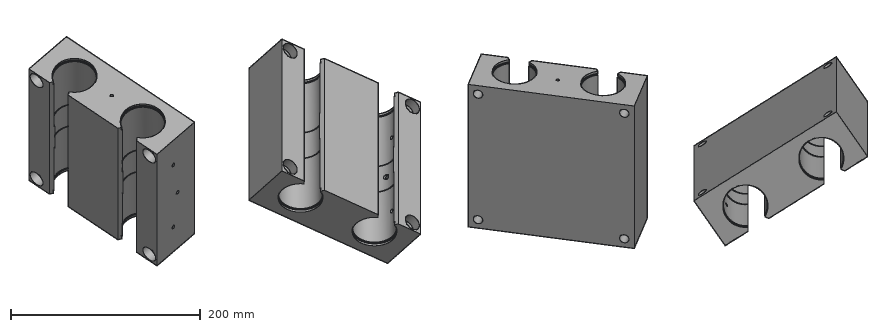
import cadquery as cq
import math

LENGTH = 180.0
DEPTH = LENGTH / 3
FRONT_Y = -DEPTH / 2

BORE_SPACING = 96.0
BORE_X = BORE_SPACING / 2
BORE_Y = FRONT_Y + 25.0
BORE_RADIUS = 23.0
MOUTH_RADIUS = 23.5
GROOVE_RADIUS = 24.1
LAND_RADIUS = 22.3
LAND_HEIGHT = 35.0
MOUTH_DEPTH = 3.0
GROOVE_WIDTH = 1.5

SLOT_WIDTH = 26.0
SLOT_HALF_ANGLE = 30.0
SLOT_DEPTH = 9.0

MOUNT_OFFSET = LENGTH / 2 - 10.8
MOUNT_DIAMETER = 10.0
COUNTERBORE_DIAMETER = 18.0
COUNTERBORE_DEPTH = 11.0

PORT_DIAMETER = 3.2
PORT_DEPTH = 9.0
PASSAGE_DIAMETER = 1.6
PASSAGE_DEPTH = 18.0

SIDE_DIAMETER = 4.1
SIDE_Z = 50.0
OUTER_DRILLING_Y = BORE_Y + 1.0
CENTRE_DRILLING_Y = 2.9
RECESS_DIAMETER = 6.0
RECESS_DEPTH = 1.0


def vertical_cylinder(radius, bottom, height):
    """Cylinder on the bore axis, placed at x = 0."""
    return cq.Workplane("XY", origin=(0, BORE_Y, bottom)).circle(radius).extrude(height)


def bore_cutter():
    """Stepped bore with end mouths, ring grooves, a narrow central land and its slot."""
    half_length = LENGTH / 2
    half_land = LAND_HEIGHT / 2
    cutter = vertical_cylinder(LAND_RADIUS, -half_length, LENGTH)
    groove_end = half_length - MOUTH_DEPTH - GROOVE_WIDTH
    steps = (
        (BORE_RADIUS, half_land, groove_end),
        (GROOVE_RADIUS, groove_end, groove_end + GROOVE_WIDTH),
        (MOUTH_RADIUS, half_length - MOUTH_DEPTH, half_length),
    )
    for radius, low, high in steps:
        for bottom in (low, -high):
            cutter = cutter.union(vertical_cylinder(radius, bottom, high - low))

    half_front = SLOT_WIDTH / 2
    half_back = half_front - SLOT_DEPTH * math.tan(math.radians(SLOT_HALF_ANGLE))
    back_y = FRONT_Y + SLOT_DEPTH
    slot = (
        cq.Workplane("XY", origin=(0, 0, -half_length))
        .polyline([(-half_front, FRONT_Y), (half_front, FRONT_Y), (half_back, back_y), (-half_back, back_y)])
        .close()
        .extrude(LENGTH)
    )
    return cutter.union(slot)


def side_drilling(diameter, y, z, length):
    """Hole along +X that starts at the axial plane of the right-hand bore."""
    return cq.Workplane("YZ", origin=(BORE_X, y, z)).circle(diameter / 2).extrude(length)


result = cq.Workplane("XY").box(LENGTH, DEPTH, LENGTH)

cutter = bore_cutter()
for x in (-BORE_X, BORE_X):
    result = result.cut(cutter.translate((x, 0, 0)))

result = (
    result.faces("<Y")
    .workplane(origin=(0, FRONT_Y, 0))
    .rect(2 * MOUNT_OFFSET, 2 * MOUNT_OFFSET, forConstruction=True)
    .vertices()
    .cboreHole(MOUNT_DIAMETER, COUNTERBORE_DIAMETER, COUNTERBORE_DEPTH)
)

top = result.faces(">Z").workplane(origin=(0, 0, LENGTH / 2))
result = top.cboreHole(PASSAGE_DIAMETER, PORT_DIAMETER, PORT_DEPTH, PASSAGE_DEPTH)

to_side_face = LENGTH / 2 - BORE_X
for y, z in ((OUTER_DRILLING_Y, -SIDE_Z), (CENTRE_DRILLING_Y, 0), (OUTER_DRILLING_Y, SIDE_Z)):
    result = result.cut(side_drilling(SIDE_DIAMETER, y, z, to_side_face))

wall_distance = math.sqrt(LAND_RADIUS**2 - (CENTRE_DRILLING_Y - BORE_Y) ** 2)
recess = side_drilling(RECESS_DIAMETER, CENTRE_DRILLING_Y, 0, wall_distance + RECESS_DEPTH)
result = result.cut(recess)